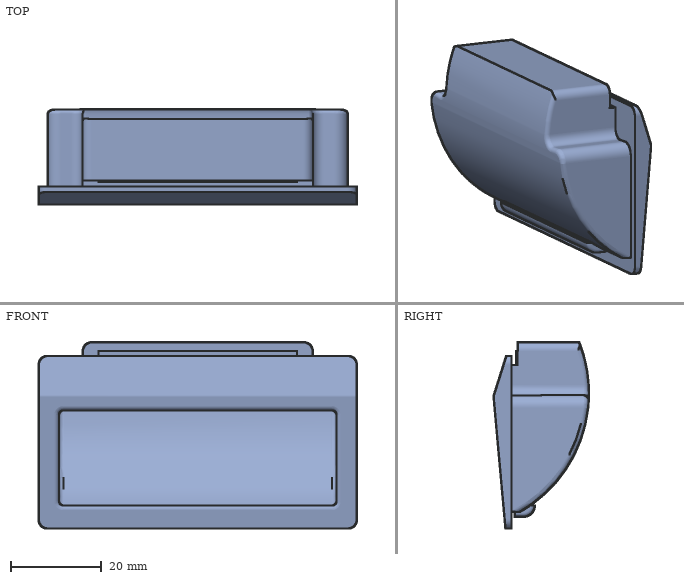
import cadquery as cq


bezel_width = 70.0
bezel_height = 38.0
bezel_corner_radius = 2.0
bezel_top_thickness = 1.2
bezel_bottom_thickness = 1.4
ridge_height = 29.1
ridge_depth = 4.02
ridge_radius = 1.0

shell_width = 66.0
shell_bottom = 3.7
shoulder_outer_height = 29.5
shoulder_root_height = 29.05
block_width = 50.6
block_top = 41.0
back_radius = 30.0
back_depth = 17.0
back_center_y = back_depth - back_radius
back_center_z = 29.8
shoulder_radius = 2.75
shoulder_root_radius = 2.3
block_corner_radius = 2.0
back_edge_radius = 1.0
trim_allowance = 0.8

slot_floor = 36.0
slot_depth = 1.3
pad_width = 43.6
pad_top = 39.1
pad_thickness = 0.35

end_wall = 2.5
back_wall = 2.15
pocket_width = shell_width - 2 * end_wall
pocket_bottom = 5.1
pocket_top = 26.0
pocket_edge_radius = 1.0
rim_radius = 1.0

catch_width = 44.0
catch_radius = 2.5
catch_center_y = 2.6
catch_bottom = 2.6
catch_front = 0.65
catch_end_radius = 0.8

search_margin = 0.1


def side_sketch(width):
    """YZ workplane at the left end of something of the given width, centred on X = 0."""
    return cq.Workplane("YZ", origin=(-width / 2, 0, 0))


def back_cylinder(radius, width):
    """Cylinder along X that shares the axis of the rounded back."""
    return side_sketch(width).center(back_center_y, back_center_z).circle(radius).extrude(width)


def block(width, y_start, y_end, z_start, z_end):
    """Box centred on X between the given Y and Z limits."""
    size_y = y_end - y_start
    size_z = z_end - z_start
    box = cq.Workplane("XY").box(width, size_y, size_z, centered=(True, False, False))
    return box.translate((0, y_start, z_start))


def make_bezel():
    """Plate with two front slopes, a softened ridge and round corners."""
    bezel = (
        side_sketch(bezel_width)
        .moveTo(0, 0)
        .lineTo(0, bezel_height)
        .lineTo(-bezel_top_thickness, bezel_height)
        .lineTo(-ridge_depth, ridge_height)
        .lineTo(-bezel_bottom_thickness, 0)
        .close()
        .extrude(bezel_width)
    )
    bezel = bezel.edges("|X").edges("<Y").fillet(ridge_radius)
    return bezel.edges("|Y").fillet(bezel_corner_radius)


def mirrored_edges(body, x, z):
    """The two edges along Y that pass through (x, z) and (-x, z)."""
    z_low = z - search_margin
    z_high = z + search_margin
    y_high = 2 * back_depth + search_margin

    def span(half_width):
        return cq.selectors.BoxSelector((-half_width, 0, z_low), (half_width, y_high, z_high))

    return body.edges("|Y").edges(span(x + search_margin) - span(x - search_margin))


def make_shell():
    """Stepped body with a cylindrical back and rounded side edges."""
    half_shell = shell_width / 2
    half_block = block_width / 2
    body = (
        cq.Workplane("XZ")
        .moveTo(0, shell_bottom - trim_allowance)
        .lineTo(half_shell, shell_bottom - trim_allowance)
        .lineTo(half_shell, shoulder_outer_height)
        .lineTo(half_block, shoulder_root_height)
        .lineTo(half_block, block_top + trim_allowance)
        .lineTo(0, block_top + trim_allowance)
        .mirrorY()
        .extrude(-2 * back_depth)
    )
    body = mirrored_edges(body, half_shell, shoulder_outer_height).fillet(shoulder_radius)
    body = mirrored_edges(body, half_block, shoulder_root_height).fillet(shoulder_root_radius)
    body = body.intersect(back_cylinder(back_radius, bezel_width))
    body = body.faces(">Y").edges("not (<Z or >Z)").fillet(back_edge_radius)
    return body.intersect(shell_envelope())


def shell_envelope():
    """Upright prism with round top corners that bounds the height of the shell."""
    lower = block(bezel_width, 0, 2 * back_depth, shell_bottom, block_top - block_corner_radius)
    upper = block(block_width, 0, 2 * back_depth, shell_bottom, block_top)
    return lower.union(upper.edges("|Y and >Z").fillet(block_corner_radius))


def make_slot():
    """Gap behind the top of the bezel, less the low pad left on the upper block."""
    slot = block(bezel_width, 0, slot_depth, slot_floor, block_top)
    pad = block(pad_width, slot_depth - pad_thickness, slot_depth, slot_floor, pad_top)
    return slot.cut(pad)


def make_pocket():
    """Grip cavity with a flat ledge and a floor concentric with the rounded back."""
    cavity = block(pocket_width, -ridge_depth, back_depth, pocket_bottom, pocket_top)
    cavity = cavity.intersect(back_cylinder(back_radius - back_wall, bezel_width))
    ends = cavity.faces("<X or >X").edges("not <Y")
    return ends.fillet(pocket_edge_radius)


def make_catch():
    """Lip with a quarter-round back, hanging below the shell."""
    top = catch_bottom + catch_radius
    catch = (
        side_sketch(catch_width)
        .moveTo(catch_front, top)
        .lineTo(catch_front, catch_bottom)
        .lineTo(catch_center_y, catch_bottom)
        .radiusArc((catch_center_y + catch_radius, top), -catch_radius)
        .close()
        .extrude(catch_width)
    )
    end_edges = catch.faces("<X or >X").edges("not >Z").edges("not <Y")
    return end_edges.fillet(catch_end_radius)


def round_rim(handle):
    """Soften the front edge of the grip pocket."""
    half_width = pocket_width / 2
    rim_edges = cq.selectors.BoxSelector(
        (-half_width - search_margin, -ridge_depth, shell_bottom),
        (half_width + search_margin, -bezel_bottom_thickness, pocket_top + search_margin),
    )
    return handle.edges(rim_edges).fillet(rim_radius)


shell = make_shell().cut(make_slot())
handle = make_bezel().union(shell).union(make_catch()).cut(make_pocket())
result = round_rim(handle)